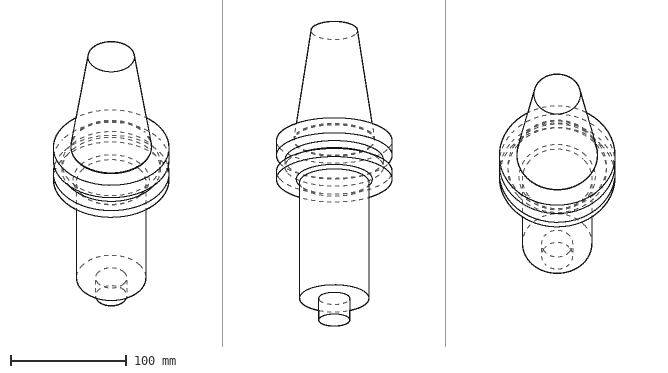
import cadquery as cq

total_length = 271.8
pilot_length = 20.5
flange_bottom = 132.0
collar_length = 3.0
flange_top = 168.5
neck_length = 0.5
taper_chamfer_length = 0.5

pilot_diameter = 27.0
body_diameter = 60.0
collar_top_diameter = 65.8
flange_diameter = 100.0
groove_diameter = 85.0
neck_diameter = 69.3
taper_large_diameter = 69.9
taper_small_diameter = 40.2

lower_rim_height = 7.5
groove_floor_height = 6.5
groove_flank_height = 4.0

groove_start = flange_bottom + lower_rim_height
floor_start = groove_start + groove_flank_height
floor_end = floor_start + groove_floor_height
groove_end = floor_end + groove_flank_height
collar_start = flange_bottom - collar_length
neck_end = flange_top + neck_length
taper_start = neck_end + taper_chamfer_length

profile = [
    (0, 0),
    (pilot_diameter, 0),
    (pilot_diameter, pilot_length),
    (body_diameter, pilot_length),
    (body_diameter, collar_start),
    (collar_top_diameter, flange_bottom),
    (flange_diameter, flange_bottom),
    (flange_diameter, groove_start),
    (groove_diameter, floor_start),
    (groove_diameter, floor_end),
    (flange_diameter, groove_end),
    (flange_diameter, flange_top),
    (neck_diameter, flange_top),
    (neck_diameter, neck_end),
    (taper_large_diameter, taper_start),
    (taper_small_diameter, total_length),
    (0, total_length),
]

result = (
    cq.Workplane("XZ")
    .polyline([(diameter / 2, height) for diameter, height in profile])
    .close()
    .revolve(360, (0, 0, 0), (0, 1, 0))
)